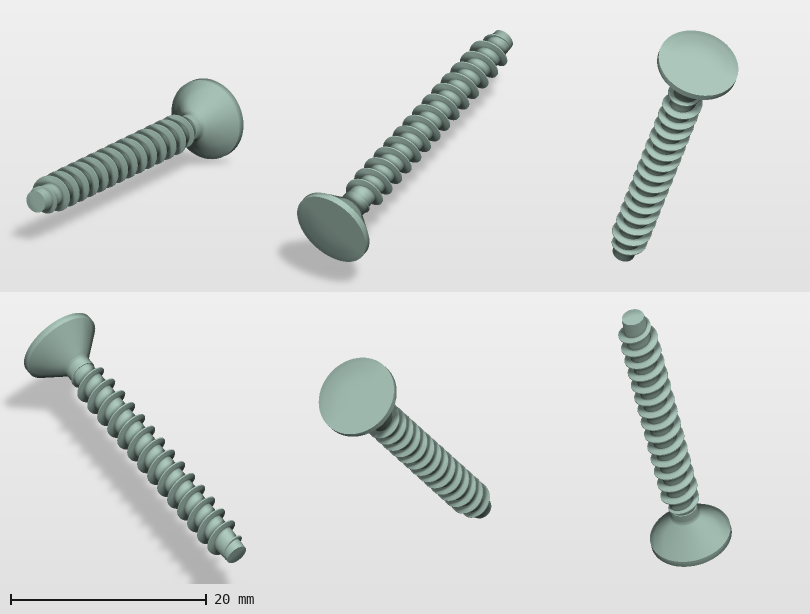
import cadquery as cq
import math

length = 32.0
head_radius = 4.2
rim_height = 0.7
neck_radius = 1.4
neck_end = 4.5
neck_fillet = 0.48
corner_margin = 0.03
core_radius = 2.6 / 2
tip_radius = 1.15
taper_start = 29.45

turns = 15.4
thread_length = 27.5
thread_start = 4.22
pitch = thread_length / turns
thread_radius = 4.0 / 2
root_radius = 0.95
start_radius = 1.35
sunken_radius = 1.12
run_in_turns = 1.0
run_out_turns = 1.2
crest_half_width = 0.05
flank_slope = 0.24
points_per_turn = 16

countersink_end = rim_height + head_radius - neck_radius


def make_body():
    """Head, filleted neck and tapered core as one turned solid."""
    head_and_neck = (
        cq.Workplane("XY")
        .polyline([
            (0, 0),
            (head_radius, 0),
            (head_radius, -rim_height),
            (neck_radius, -countersink_end),
            (neck_radius, -neck_end),
            (0, -neck_end),
        ])
        .close()
        .revolve(360, (0, 0, 0), (0, 1, 0))
    )
    corner = cq.selectors.BoxSelector(
        (-head_radius, -countersink_end - corner_margin, -head_radius),
        (head_radius, -countersink_end + corner_margin, head_radius),
    )
    head_and_neck = head_and_neck.edges("%CIRCLE").edges(corner).fillet(neck_fillet)
    core = (
        cq.Workplane("XY")
        .polyline([
            (0, -rim_height),
            (core_radius, -rim_height),
            (core_radius, -taper_start),
            (tip_radius, -length),
            (0, -length),
        ])
        .close()
        .revolve(360, (0, 0, 0), (0, 1, 0))
    )
    return head_and_neck.union(core)


def crest_radius(turn):
    """Crest radius after a number of turns, with a linear fade at each end."""
    rise = (thread_radius - start_radius) * turn / run_in_turns
    fall = (thread_radius - sunken_radius) * (turns - turn) / run_out_turns
    return min(thread_radius, start_radius + rise, sunken_radius + fall)


def thread_point(turn, at_crest, side):
    """Point on one corner of the thread section; side is -1 (head) or +1 (tip)."""
    crest = crest_radius(turn)
    radius = crest if at_crest else root_radius
    half_width = crest_half_width + flank_slope * (crest - radius)
    depth = thread_start + pitch * turn + side * half_width
    angle = math.pi / 2 + 2 * math.pi * turn
    return cq.Vector(radius * math.cos(angle), -depth, radius * math.sin(angle))


def thread_rail(first_turn, last_turn, at_crest, side):
    """Smooth curve along one corner of the section over a stretch of turns."""
    span = last_turn - first_turn
    steps = math.ceil(span * points_per_turn)
    turns_along = [first_turn + span * step / steps for step in range(steps + 1)]
    points = [thread_point(turn, at_crest, side) for turn in turns_along]
    return cq.Edge.makeSpline(points)


def make_thread():
    """Helical ridge of trapezoidal section, built in stretches of about one turn."""
    corners = [(False, -1), (True, -1), (True, 1), (False, 1)]
    run_out_start = turns - run_out_turns
    full_stretches = math.floor(run_out_start - run_in_turns)
    stretch = (run_out_start - run_in_turns) / full_stretches
    breaks = [run_in_turns + stretch * index for index in range(full_stretches + 1)]
    breaks = [0] + breaks + [turns]
    faces = []
    for first_turn, last_turn in zip(breaks, breaks[1:]):
        rails = [thread_rail(first_turn, last_turn, *corner) for corner in corners]
        for index, rail in enumerate(rails):
            next_rail = rails[(index + 1) % len(rails)]
            faces.append(cq.Face.makeRuledSurface(rail, next_rail))
    for turn in (0, turns):
        section = [thread_point(turn, *corner) for corner in corners]
        faces.append(cq.Face.makeFromWires(cq.Wire.makePolygon(section, close=True)))
    return cq.Solid.makeSolid(cq.Shell.makeShell(faces)).fix()


result = make_body().union(cq.Workplane(obj=make_thread()))